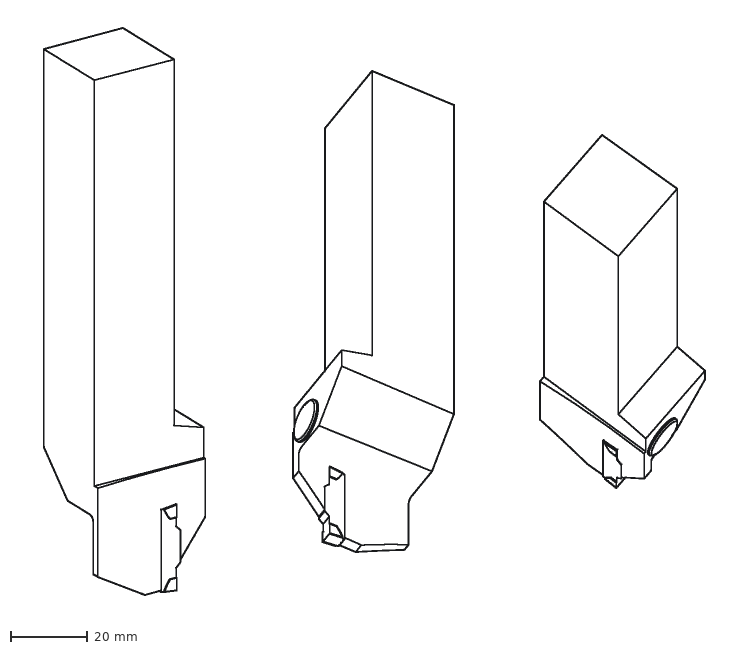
import cadquery as cq

shank_width = 24.4
shank_depth = 25.0
tool_height = 151.4

head_depth = 34.2
head_flare = 0.5
head_bottom = 26.5
bevel_top = 38.1
bevel_inner_x = 11.5
head_back_top = 44.0
head_front_top = 46.8

blade_top = 35.4
blade_bottom = 0.9
blade_front_bottom = 10.0
blade_back_bottom = 18.8
blade_tip_y = 15.3
blade_inner_front_x = 23.8
blade_inner_back_x = 21.8
blade_outer_front_x = 26.0
blade_outer_back_x = 25.0
root_fillet = 1.5

boss_diameter = 11.8
boss_height = 35.1 - head_depth
boss_chamfer = 0.5
boss_x = 17.7
boss_z = 33.5

insert_height = 24.5
insert_front_y = 20.5
insert_back_y = 25.1
bulge_depth = 1.4
bulge_start = 6.4
bulge_rise = 1.4
insert_inner_x = 21.5
insert_width = 4.0
side_relief = 0.3
cutting_end_height = 3.6
cutting_end_front_y = 21.2
cutting_arc_back_y = 23.0
cutting_arc_middle = (22.1, 2.3)
end_clearance = 0.5


def make_shank_and_head():
    plan = (
        cq.Workplane("XY")
        .polyline([
            (0, 0),
            (shank_width, 0),
            (shank_width, head_depth),
            (-head_flare, head_depth),
        ])
        .close()
        .extrude(tool_height)
    )
    side = (
        cq.Workplane("YZ", origin=(-head_flare, 0, 0))
        .polyline([
            (0, head_bottom),
            (head_depth, head_bottom),
            (head_depth, head_back_top),
            (shank_depth, head_front_top),
            (shank_depth, tool_height),
            (0, tool_height),
        ])
        .close()
        .extrude(shank_width + head_flare)
    )
    return plan.intersect(side)


def make_bevel_cutter():
    """Wedge removed to slope the lower -X corner of the head."""
    return (
        cq.Workplane("XZ")
        .polyline([
            (-head_flare, head_bottom),
            (bevel_inner_x, head_bottom),
            (-head_flare, bevel_top),
        ])
        .close()
        .extrude(-head_depth)
    )


def face_curve_x(front_x, back_x, y):
    """X of a blade face whose tangent is parallel to Y at the insert's back."""
    return back_x + (front_x - back_x) * (1 - y / insert_back_y) ** 2


def make_blade():
    middle_y = head_depth / 2
    inner_middle = (face_curve_x(blade_inner_front_x, blade_inner_back_x, middle_y), middle_y)
    inner_end = (face_curve_x(blade_inner_front_x, blade_inner_back_x, head_depth), head_depth)
    outer_middle = (face_curve_x(blade_outer_front_x, blade_outer_back_x, middle_y), middle_y)
    outer_end = (face_curve_x(blade_outer_front_x, blade_outer_back_x, head_depth), head_depth)
    plan = (
        cq.Workplane("XY")
        .moveTo(blade_inner_front_x, 0)
        .lineTo(blade_outer_front_x, 0)
        .threePointArc(outer_middle, outer_end)
        .lineTo(*inner_end)
        .threePointArc(inner_middle, (blade_inner_front_x, 0))
        .close()
        .extrude(blade_top)
    )
    side = (
        cq.Workplane("YZ")
        .polyline([
            (0, blade_front_bottom),
            (blade_tip_y, blade_bottom),
            (insert_front_y, blade_bottom),
            (insert_back_y, bulge_start),
            (head_depth, blade_back_bottom),
            (head_depth, blade_top),
            (0, blade_top),
        ])
        .close()
        .extrude(blade_outer_front_x)
    )
    return plan.intersect(side)


def make_boss():
    return (
        cq.Workplane("XZ", origin=(boss_x, head_depth, boss_z))
        .circle(boss_diameter / 2)
        .extrude(-boss_height)
        .faces(">Y")
        .chamfer(boss_chamfer)
    )


def make_insert():
    bulge_y = insert_back_y + bulge_depth
    bulge_end = insert_height - bulge_start
    middle = (
        cq.Workplane("YZ", origin=(insert_inner_x + side_relief, 0, 0))
        .polyline([
            (insert_front_y, end_clearance),
            (insert_back_y, 0),
            (insert_back_y, bulge_start),
            (bulge_y, bulge_start + bulge_rise),
            (bulge_y, bulge_end - bulge_rise),
            (insert_back_y, bulge_end),
            (insert_back_y, insert_height),
            (insert_front_y, insert_height - end_clearance),
        ])
        .close()
        .extrude(insert_width - 2 * side_relief)
    )
    lower_end = (
        cq.Workplane("YZ", origin=(insert_inner_x, 0, 0))
        .moveTo(cutting_end_front_y, end_clearance)
        .lineTo(insert_back_y, 0)
        .lineTo(insert_back_y, cutting_end_height)
        .lineTo(cutting_arc_back_y, cutting_end_height)
        .threePointArc(cutting_arc_middle, (cutting_end_front_y, end_clearance))
        .close()
        .extrude(insert_width)
    )
    upper_end = lower_end.mirror("XY", (0, 0, insert_height / 2))
    return middle.union(lower_end).union(upper_end)


def make_root_fillet(holder):
    """Round the long inside corner between the head's underside and the blade."""
    corner = cq.selectors.BoxSelector(
        (blade_inner_back_x - root_fillet, -root_fillet, head_bottom - root_fillet / 2),
        (blade_inner_front_x + root_fillet / 2, head_depth, head_bottom + root_fillet / 2),
    )
    return holder.edges(corner).fillet(root_fillet)


def make_holder(insert):
    body = make_shank_and_head().cut(make_bevel_cutter()).union(make_blade())
    return make_root_fillet(body).union(make_boss()).cut(insert)


insert = make_insert()
holder = make_holder(insert)
result = cq.Compound.makeCompound([holder.val(), insert.val()])